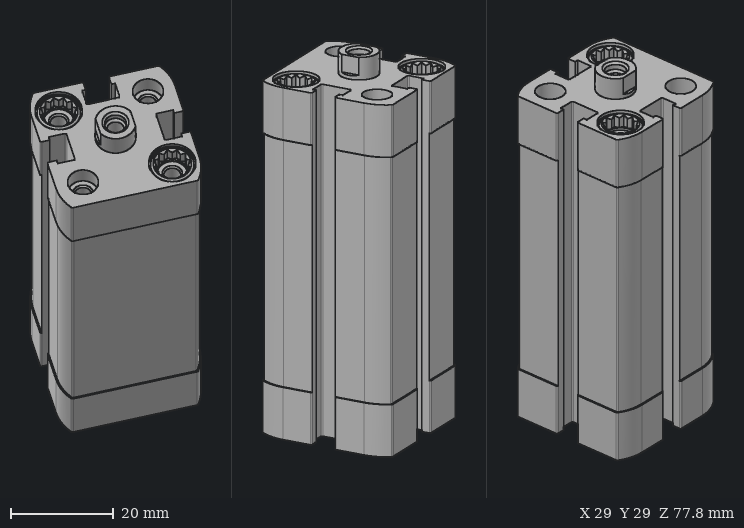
import cadquery as cq
import math

WIDTH = 29.0
TOTAL_HEIGHT = 77.8
ROD_PROJECTION = 4.7
HOUSING_HEIGHT = TOTAL_HEIGHT - ROD_PROJECTION
CAP_HEIGHT = 10.9
BARREL_INSET = 0.27

HOLE_OFFSET = 9.0
CORNER_RADIUS = 9.4
CORNER_ROUND = 0.5
SLOT_OPENING = 5.1
SLOT_WIDTH = 6.7
SLOT_DEPTH = 5.45
LIP_THICKNESS = 1.95
SLOT_ROUND = 0.3
CAP_LIP_ROUND = 0.3

COUNTERBORE_DIAMETER = 6.0
COUNTERBORE_DEPTH = 3.6
SCREW_DIAMETER = 3.3
SCREW_MOUTH_DIAMETER = 4.0

SOCKET_POINTS = 12
SOCKET_DEPTH = 3.0
SOCKET_OUTER_RADIUS = 3.6
SOCKET_INNER_RADIUS = 3.1
SOCKET_RIM_DIAMETER = 9.2
COLLAR_DIAMETER = 8.5
CREST_RADIUS = 3.7
COLLAR_DEPTH = 0.2
GROOVE_DEPTH = 0.7

ROD_DIAMETER = 8.0
ROD_LENGTH = ROD_PROJECTION + CAP_HEIGHT
ROD_FLATS = 7.1
FLAT_LENGTH = 3.65
FLAT_RUNOUT = 0.2
ROD_MOUTH_DIAMETER = 5.2
ROD_THREAD_DIAMETER = 4.3
ROD_DRILL_DIAMETER = 3.3
ROD_THREAD_DEPTH = 1.55
ROD_HOLE_DEPTH = 7.8
DRILL_POINT = 0.9


def revolved(points):
    """Solid of revolution about Z from (radius, z) points."""
    return cq.Workplane("XZ").polyline(points).close().revolve(360, (0, 0), (0, 1))


def profile_prism(inset, height):
    """Square prism with the four corners drawn in by arcs, all sides moved inwards by inset."""
    half = WIDTH / 2 - inset
    radius = CORNER_RADIUS - inset
    centre_y = half - radius
    reach = half - HOLE_OFFSET
    side_y = centre_y + math.sqrt(radius**2 - reach**2)
    mid_angle = math.asin(reach / radius) / 2
    mid_x = HOLE_OFFSET + radius * math.sin(mid_angle)
    mid_y = centre_y + radius * math.cos(mid_angle)
    outline = (
        cq.Workplane("XY")
        .moveTo(-HOLE_OFFSET, half)
        .lineTo(HOLE_OFFSET, half)
        .threePointArc((mid_x, mid_y), (half, side_y))
        .lineTo(half, -side_y)
        .threePointArc((mid_x, -mid_y), (HOLE_OFFSET, -half))
        .lineTo(-HOLE_OFFSET, -half)
        .threePointArc((-mid_x, -mid_y), (-half, -side_y))
        .lineTo(-half, side_y)
        .threePointArc((-mid_x, mid_y), (-HOLE_OFFSET, half))
        .close()
    )
    prism = outline.extrude(height)
    return prism.edges("|Z").edges("<X or >X").fillet(CORNER_ROUND)


def slot_cutter():
    """T-slot in the -Y side, running the full height."""
    outer = WIDTH / 2
    undercut_depth = SLOT_DEPTH - LIP_THICKNESS
    undercut = (
        cq.Workplane("XY")
        .center(0, -outer + LIP_THICKNESS + undercut_depth / 2)
        .rect(SLOT_WIDTH, undercut_depth)
        .extrude(HOUSING_HEIGHT)
        .edges("|Z and >Y")
        .fillet(SLOT_ROUND)
    )
    opening = (
        cq.Workplane("XY")
        .center(0, -outer + LIP_THICKNESS / 2)
        .rect(SLOT_OPENING, LIP_THICKNESS)
        .extrude(HOUSING_HEIGHT)
    )
    return undercut.union(opening)


def lip_round_cutter(height):
    """Removes the two sharp lip corners of the -Y slot, leaving them rounded."""
    outer = WIDTH / 2
    half = SLOT_OPENING / 2
    wide = half + CAP_LIP_ROUND
    diagonal = CAP_LIP_ROUND * math.sqrt(0.5)
    bulge = (wide - diagonal, -outer + CAP_LIP_ROUND - diagonal)
    return (
        cq.Workplane("XY")
        .moveTo(-wide, -outer)
        .lineTo(wide, -outer)
        .threePointArc(bulge, (half, -outer + CAP_LIP_ROUND))
        .lineTo(-half, -outer + CAP_LIP_ROUND)
        .threePointArc((-bulge[0], bulge[1]), (-wide, -outer))
        .close()
        .extrude(height)
    )


def screw_hole_cutter():
    """Counterbored through hole with a countersunk mouth, on the Z axis."""
    floor = HOUSING_HEIGHT - COUNTERBORE_DEPTH
    screw = SCREW_DIAMETER / 2
    mouth = SCREW_MOUTH_DIAMETER / 2
    bore = COUNTERBORE_DIAMETER / 2
    return revolved([
        (0, 0),
        (screw, 0),
        (screw, floor - (mouth - screw)),
        (mouth, floor),
        (bore, floor),
        (bore, HOUSING_HEIGHT),
        (0, HOUSING_HEIGHT),
    ])


def socket_cutter():
    """Twelve-point socket whose chamfered collar stands in a ring groove, on the Z axis."""
    star_points = []
    for i in range(2 * SOCKET_POINTS):
        radius = SOCKET_OUTER_RADIUS if i % 2 == 0 else SOCKET_INNER_RADIUS
        angle = math.pi * i / SOCKET_POINTS
        star_points.append((radius * math.cos(angle), radius * math.sin(angle)))
    star = (
        cq.Workplane("XY", origin=(0, 0, HOUSING_HEIGHT - SOCKET_DEPTH))
        .polyline(star_points)
        .close()
        .extrude(SOCKET_DEPTH)
    )
    rim = SOCKET_RIM_DIAMETER / 2
    collar = COLLAR_DIAMETER / 2
    flare_depth = COLLAR_DEPTH + CREST_RADIUS - SOCKET_INNER_RADIUS
    flare = revolved([
        (0, HOUSING_HEIGHT - flare_depth),
        (SOCKET_INNER_RADIUS, HOUSING_HEIGHT - flare_depth),
        (CREST_RADIUS, HOUSING_HEIGHT - COLLAR_DEPTH),
        (collar, HOUSING_HEIGHT - GROOVE_DEPTH),
        (rim, HOUSING_HEIGHT - GROOVE_DEPTH),
        (rim, HOUSING_HEIGHT),
        (0, HOUSING_HEIGHT),
    ])
    return star.union(flare)


def rod_cylinder():
    """Full rod cylinder, used for the rod and for the bore that holds it."""
    return (
        cq.Workplane("XY", origin=(0, 0, TOTAL_HEIGHT - ROD_LENGTH))
        .circle(ROD_DIAMETER / 2)
        .extrude(ROD_LENGTH)
    )


def make_housing():
    top_cap_base = HOUSING_HEIGHT - CAP_HEIGHT
    housing = profile_prism(BARREL_INSET, HOUSING_HEIGHT)
    for cap_base in (0, top_cap_base):
        housing = housing.union(profile_prism(0, CAP_HEIGHT).translate((0, 0, cap_base)))

    for turn in (0, -90, 180):
        cutter = slot_cutter()
        for cap_base in (0, top_cap_base):
            cutter = cutter.union(lip_round_cutter(CAP_HEIGHT).translate((0, 0, cap_base)))
        housing = housing.cut(cutter.rotate((0, 0, 0), (0, 0, 1), turn))

    for side_x in (-1, 1):
        for side_y in (-1, 1):
            place = (side_x * HOLE_OFFSET, side_y * HOLE_OFFSET, 0)
            housing = housing.cut(screw_hole_cutter().translate(place))
            if side_x == side_y:
                housing = housing.cut(socket_cutter().translate(place))

    return housing.cut(rod_cylinder())


def make_rod():
    rod = rod_cylinder()

    flat_y = ROD_FLATS / 2
    outer_y = ROD_DIAMETER / 2
    flat_base = TOTAL_HEIGHT - FLAT_LENGTH
    flat_cutter = (
        cq.Workplane("YZ", origin=(-ROD_DIAMETER / 2, 0, 0))
        .moveTo(flat_y, TOTAL_HEIGHT)
        .lineTo(flat_y, flat_base)
        .lineTo(outer_y, flat_base - FLAT_RUNOUT)
        .lineTo(outer_y, TOTAL_HEIGHT)
        .close()
        .extrude(ROD_DIAMETER)
    )
    rod = rod.cut(flat_cutter).cut(flat_cutter.mirror("XZ"))

    mouth = ROD_MOUTH_DIAMETER / 2
    thread = ROD_THREAD_DIAMETER / 2
    drill = ROD_DRILL_DIAMETER / 2
    thread_base = TOTAL_HEIGHT - ROD_THREAD_DEPTH
    drill_base = TOTAL_HEIGHT - ROD_HOLE_DEPTH
    hole = revolved([
        (0, TOTAL_HEIGHT),
        (mouth, TOTAL_HEIGHT),
        (thread, TOTAL_HEIGHT - (mouth - thread)),
        (thread, thread_base),
        (drill, thread_base - (thread - drill)),
        (drill, drill_base),
        (0, drill_base - DRILL_POINT),
    ])
    return rod.cut(hole)


housing = make_housing()
rod = make_rod()
result = cq.Compound.makeCompound([housing.val(), rod.val()])